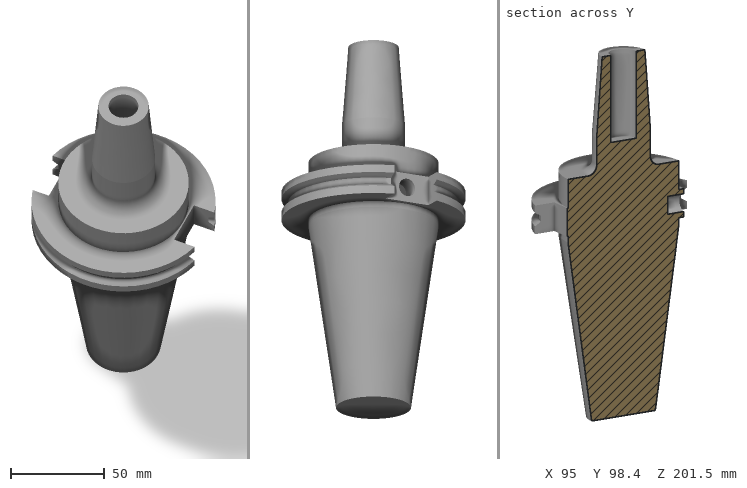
import cadquery as cq
import math

total_height = 201.5
gauge_height = 101.6
flange_bottom = 104.8
flange_thickness = 16.0
flange_top = flange_bottom + flange_thickness
collar_top = 136.7
nose_cone_bottom = 157.2

gauge_radius = 34.9
taper_half_slope = 7 / 48
taper_end_radius = gauge_radius - gauge_height * taper_half_slope
flange_radius = 49.2
neck_radius = 17.0
neck_fillet = 5.2
nose_radius = 13.5

groove_height = 112.9
groove_floor_radius = 45.8
groove_floor_width = 3.5
groove_half_angle = 30.0

slot_width = 25.8
shallow_slot_floor = 38.0
deep_slot_floor = 35.5

tool_bore_diameter = 16.0
tool_bore_depth = 48.4
side_hole_diameter = 9.7
side_hole_depth = 10.0


def turned_body():
    """Taper shank, flange, collar and nose as one revolved profile."""
    groove_depth = flange_radius - groove_floor_radius
    floor_half = groove_floor_width / 2
    mouth_half = floor_half + groove_depth * math.tan(math.radians(groove_half_angle))
    profile = (
        cq.Workplane("XZ")
        .lineTo(taper_end_radius, 0)
        .lineTo(gauge_radius, gauge_height)
        .lineTo(gauge_radius, flange_bottom)
        .lineTo(flange_radius, flange_bottom)
        .lineTo(flange_radius, groove_height - mouth_half)
        .lineTo(groove_floor_radius, groove_height - floor_half)
        .lineTo(groove_floor_radius, groove_height + floor_half)
        .lineTo(flange_radius, groove_height + mouth_half)
        .lineTo(flange_radius, flange_top)
        .lineTo(gauge_radius, flange_top)
        .lineTo(gauge_radius, collar_top)
        .lineTo(neck_radius + neck_fillet, collar_top)
        .radiusArc((neck_radius, collar_top + neck_fillet), neck_fillet)
        .lineTo(neck_radius, nose_cone_bottom)
        .lineTo(nose_radius, total_height)
        .lineTo(0, total_height)
        .close()
    )
    return profile.revolve(360, (0, 0, 0), (0, 1, 0))


def drive_slot(floor, side):
    """Slot cutter through the flange on the +X (side=1) or -X (side=-1) side."""
    return (
        cq.Workplane("XY")
        .box(flange_radius, slot_width, flange_thickness, centered=(False, True, False))
        .translate((floor, 0, flange_bottom))
        .rotate((0, 0, 0), (0, 0, 1), 0 if side > 0 else 180)
    )


def tool_bore():
    """Blind bore from the nose face."""
    return (
        cq.Workplane("XY", origin=(0, 0, total_height))
        .circle(tool_bore_diameter / 2)
        .extrude(-tool_bore_depth)
    )


def side_hole():
    """Blind radial hole in the floor of the shallow slot."""
    return (
        cq.Workplane("YZ", origin=(-shallow_slot_floor, 0, groove_height))
        .circle(side_hole_diameter / 2)
        .extrude(side_hole_depth)
    )


result = (
    turned_body()
    .cut(drive_slot(shallow_slot_floor, -1))
    .cut(drive_slot(deep_slot_floor, 1))
    .cut(tool_bore())
    .cut(side_hole())
)